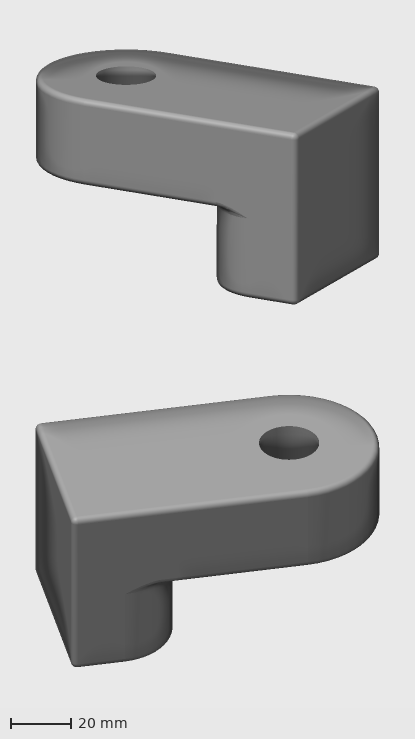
import cadquery as cq

length = 110.0
width = 60.0
height = 60.0
arm_thickness = height / 2
nose_radius = width / 2

leg_length = 38.0
leg_corner_radius = 20.0

hole_diameter = 20.0
edge_radius = 2.0
junction_radius = 2.1


def make_arm():
    """Flat arm with a half-round nose at its -X end, centred on the origin."""
    end_x = length - nose_radius
    return (
        cq.Workplane("XY")
        .workplane(offset=height - arm_thickness)
        .moveTo(end_x, -nose_radius)
        .lineTo(0, -nose_radius)
        .threePointArc((-nose_radius, 0), (0, nose_radius))
        .lineTo(end_x, nose_radius)
        .close()
        .extrude(arm_thickness)
    )


def make_leg():
    """Leg with two large round corners facing the nose."""
    leg_center_x = length - nose_radius - leg_length / 2
    return (
        cq.Workplane("XY")
        .center(leg_center_x, 0)
        .rect(leg_length, width)
        .extrude(height - arm_thickness)
        .edges("|Z and <X")
        .fillet(leg_corner_radius)
    )


body = make_arm().union(make_leg()).clean()

junction_start_x = length - nose_radius - leg_length
underside_z = height - arm_thickness
junction = cq.selectors.BoxSelector(
    (junction_start_x - edge_radius, -width, underside_z - edge_radius),
    (length, width, underside_z + edge_radius),
)
body = body.edges("#Z").edges(junction).fillet(junction_radius)

body = body.edges(">Z or <Z or >X").fillet(edge_radius)

nose_rim = cq.selectors.BoxSelector(
    (-length, -width, underside_z - edge_radius),
    (0, width, underside_z + edge_radius),
)
body = body.edges(nose_rim).fillet(edge_radius)

pin_hole = cq.Workplane("XY").circle(hole_diameter / 2).extrude(height)
result = body.cut(pin_hole)